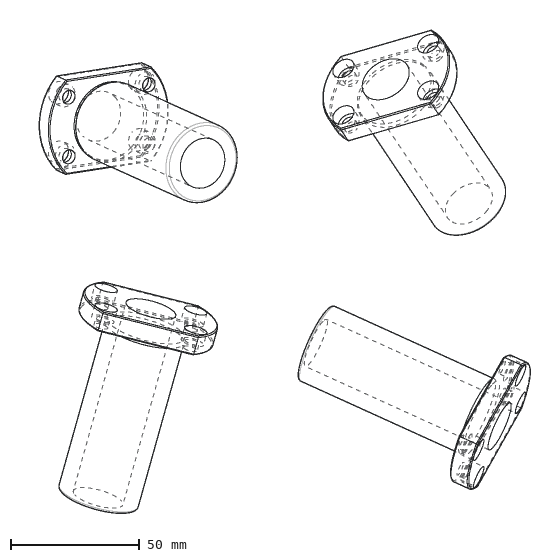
import cadquery as cq

length = 80.0
flange_diameter = 54.0
flange_height = 38.0
flange_thickness = 8.0
flange_chamfer = 0.5

body_diameter = 32.0
bore_diameter = 20.0
end_fillet = 1.0

relief_depth_at_flange = 0.3
relief_depth_at_middle = 0.5
relief_width = 1.8

hole_diameter = 5.5
counterbore_diameter = 9.0
counterbore_depth = 5.1
hole_pitch_y = 36.0
hole_pitch_z = 24.0


def make_flange():
    """Round plate with flats on top and bottom and chamfered rims."""
    disc = cq.Workplane("YZ").circle(flange_diameter / 2).extrude(flange_thickness)
    flats = cq.Workplane("YZ").rect(flange_diameter, flange_height).extrude(flange_thickness)
    return disc.intersect(flats).faces("<X or >X").edges().chamfer(flange_chamfer)


def make_body():
    """Revolved sleeve with a concave relief at the flange and a rounded far end."""
    radius = body_diameter / 2
    relief_start = (flange_thickness, radius - relief_depth_at_flange)
    relief_middle = (flange_thickness + relief_width / 2, radius - relief_depth_at_middle)
    relief_end = (flange_thickness + relief_width, radius)
    profile = (
        cq.Workplane("XY")
        .lineTo(0, relief_start[1])
        .lineTo(*relief_start)
        .threePointArc(relief_middle, relief_end)
        .lineTo(length - end_fillet, radius)
        .tangentArcPoint((length, radius - end_fillet), relative=False)
        .lineTo(length, 0)
        .close()
    )
    return profile.revolve(360, (0, 0, 0), (1, 0, 0))


def cylinder_along_x(diameter, depth):
    """Cylinder on the X axis that starts at the flange face."""
    return cq.Workplane("YZ").circle(diameter / 2).extrude(depth)


def make_mounting_holes():
    """Four stepped cutters on a rectangular pattern."""
    cutter = cylinder_along_x(hole_diameter, flange_thickness).union(
        cylinder_along_x(counterbore_diameter, counterbore_depth)
    )
    pattern = cq.Workplane("YZ").rect(hole_pitch_y, hole_pitch_z, forConstruction=True).vertices()
    return [cutter.translate(corner.Center()) for corner in pattern.vals()]


result = make_flange().union(make_body())
result = result.cut(cylinder_along_x(bore_diameter, length))
for hole in make_mounting_holes():
    result = result.cut(hole)